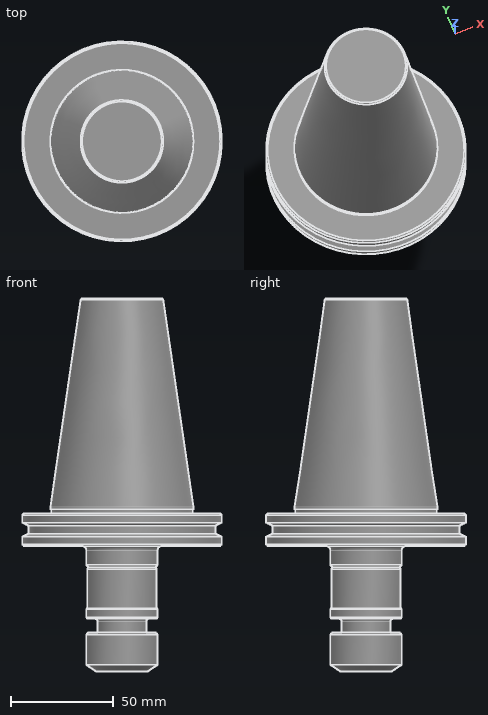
import cadquery as cq

TOTAL_HEIGHT = 181.8
TAPER_LENGTH = 101.6
GAUGE_Z = TOTAL_HEIGHT - TAPER_LENGTH
GAUGE_BAND = 1.0
FLANGE_TOP_Z = 77.0
FLANGE_THICKNESS = 16.0
FLANGE_BOTTOM_Z = FLANGE_TOP_Z - FLANGE_THICKNESS
GROOVE_CENTER_Z = 69.0
SHOULDER_BOTTOM_Z = 52.0
STEP_HEIGHT = 1.0
RELIEF_HEIGHT = 1.0
COLLAR_TOP_Z = 30.9
COLLAR_BOTTOM_Z = 25.6
NUT_TOP_Z = 19.0
NUT_CONE_HEIGHT = 3.3

GAUGE_RADIUS = 34.9
TAPER_SLOPE = 7 / 48
TAPER_TOP_RADIUS = GAUGE_RADIUS - TAPER_LENGTH * TAPER_SLOPE
UNDERCUT_RADIUS = 34.5
FLANGE_RADIUS = 48.7
GROOVE_RADIUS = 45.6
SHOULDER_RADIUS = 17.5
SHANK_RADIUS = 16.9
RELIEF_RADIUS = 16.5
NECK_RADIUS = 12.0
NUT_RADIUS = 17.5
NUT_FACE_RADIUS = 12.5

GROOVE_FLOOR_WIDTH = 3.8
GROOVE_MOUTH_WIDTH = 6.9
TAPER_CHAMFER = 0.7
FLANGE_CHAMFER = 0.9
COLLAR_TOP_CHAMFER = 0.5
COLLAR_BOTTOM_CHAMFER = 0.7
NUT_CHAMFER = 1.0
FLANGE_FILLET = 2.0
NECK_FILLET = 1.0


def concave_corner(profile, inner_radius, face_z, fillet):
    """Round the corner where a flat underside meets a smaller cylinder below it."""
    center_radius = inner_radius + fillet
    diagonal = fillet * 0.5**0.5
    return (
        profile.lineTo(center_radius, face_z)
        .threePointArc(
            (center_radius - diagonal, face_z - fillet + diagonal),
            (inner_radius, face_z - fillet),
        )
    )


def taper_outline(profile):
    """Steep taper, its gauge band and the undercut above the flange."""
    return (
        profile.lineTo(TAPER_TOP_RADIUS - TAPER_CHAMFER, TOTAL_HEIGHT)
        .lineTo(TAPER_TOP_RADIUS + TAPER_CHAMFER * TAPER_SLOPE, TOTAL_HEIGHT - TAPER_CHAMFER)
        .lineTo(GAUGE_RADIUS, GAUGE_Z)
        .lineTo(GAUGE_RADIUS, GAUGE_Z - GAUGE_BAND)
        .lineTo(UNDERCUT_RADIUS, GAUGE_Z - GAUGE_BAND)
        .lineTo(UNDERCUT_RADIUS, FLANGE_TOP_Z)
    )


def flange_outline(profile):
    """Chamfered flange with a trapezoidal gripper groove around its rim."""
    return (
        profile.lineTo(FLANGE_RADIUS - FLANGE_CHAMFER, FLANGE_TOP_Z)
        .lineTo(FLANGE_RADIUS, FLANGE_TOP_Z - FLANGE_CHAMFER)
        .lineTo(FLANGE_RADIUS, GROOVE_CENTER_Z + GROOVE_MOUTH_WIDTH / 2)
        .lineTo(GROOVE_RADIUS, GROOVE_CENTER_Z + GROOVE_FLOOR_WIDTH / 2)
        .lineTo(GROOVE_RADIUS, GROOVE_CENTER_Z - GROOVE_FLOOR_WIDTH / 2)
        .lineTo(FLANGE_RADIUS, GROOVE_CENTER_Z - GROOVE_MOUTH_WIDTH / 2)
        .lineTo(FLANGE_RADIUS, FLANGE_BOTTOM_Z + FLANGE_CHAMFER)
        .lineTo(FLANGE_RADIUS - FLANGE_CHAMFER, FLANGE_BOTTOM_Z)
    )


def shank_outline(profile):
    """Shoulder, relief, plain shank, collar and neck, from the flange down."""
    profile = concave_corner(profile, SHOULDER_RADIUS, FLANGE_BOTTOM_Z, FLANGE_FILLET)
    relief_top_z = SHOULDER_BOTTOM_Z - STEP_HEIGHT
    profile = (
        profile.lineTo(SHOULDER_RADIUS, SHOULDER_BOTTOM_Z)
        .lineTo(RELIEF_RADIUS, relief_top_z)
        .lineTo(SHANK_RADIUS, relief_top_z - RELIEF_HEIGHT)
        .lineTo(SHANK_RADIUS, COLLAR_TOP_Z)
        .lineTo(SHOULDER_RADIUS, COLLAR_TOP_Z - COLLAR_TOP_CHAMFER)
        .lineTo(SHOULDER_RADIUS, COLLAR_BOTTOM_Z + COLLAR_BOTTOM_CHAMFER)
        .lineTo(SHOULDER_RADIUS - COLLAR_BOTTOM_CHAMFER, COLLAR_BOTTOM_Z)
    )
    profile = concave_corner(profile, NECK_RADIUS, COLLAR_BOTTOM_Z, NECK_FILLET)
    return profile.lineTo(NECK_RADIUS, NUT_TOP_Z).lineTo(0, NUT_TOP_Z)


def make_holder():
    """Tool holder turned in one piece from the taper to the end of the neck."""
    profile = cq.Workplane("XZ").moveTo(0, TOTAL_HEIGHT)
    profile = taper_outline(profile)
    profile = flange_outline(profile)
    profile = shank_outline(profile)
    return profile.close().revolve(360, (0, 0), (0, 1))


def make_nut():
    """Clamping nut with a chamfered top edge and a conical nose."""
    return (
        cq.Workplane("XZ")
        .moveTo(0, 0)
        .lineTo(NUT_FACE_RADIUS, 0)
        .lineTo(NUT_RADIUS, NUT_CONE_HEIGHT)
        .lineTo(NUT_RADIUS, NUT_TOP_Z - NUT_CHAMFER)
        .lineTo(NUT_RADIUS - NUT_CHAMFER, NUT_TOP_Z)
        .lineTo(0, NUT_TOP_Z)
        .close()
        .revolve(360, (0, 0), (0, 1))
    )


holder = make_holder()
nut = make_nut()

result = cq.Compound.makeCompound([holder.val(), nut.val()])